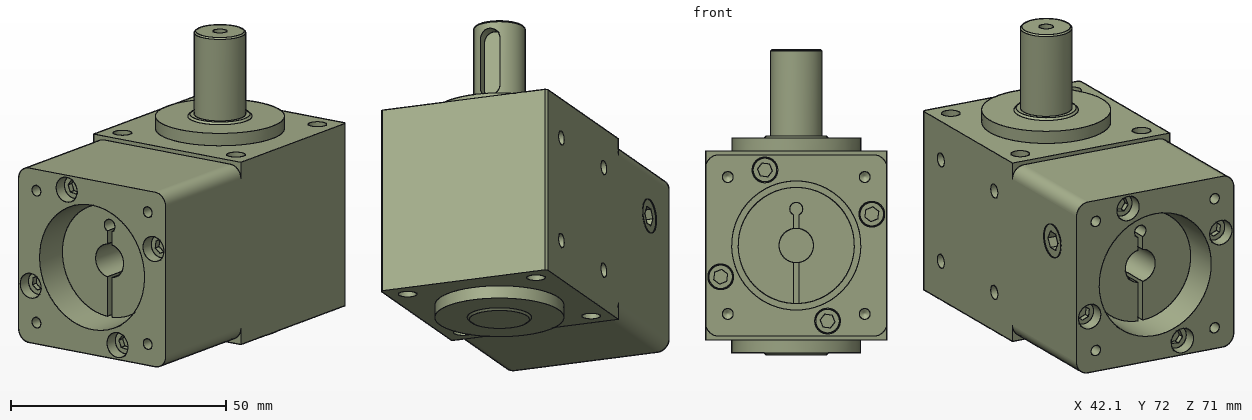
import cadquery as cq
import math


overall_length = 72.0
drill_point_angle = 118
hexagon_sides = 6

housing_width = 42.1
housing_height = 44.0
housing_half_length = 21.0
housing_edge_chamfer = 0.5
side_x = -housing_width / 2

motor_face_y = housing_half_length - overall_length
block_corner_radius = 3.0

flange_diameter = 30.0
flange_end_z = 25.0
boss_diameter = 15.0
boss_height = 0.5
boss_end_diameter = boss_diameter - 2 * boss_height
shaft_diameter = 12.0
shaft_top_z = 45.5
shaft_chamfer = 0.35
center_hole_diameter = 3.3
center_hole_depth = 10.1

key_width = 5.0
key_length = 16.4
key_depth = 3.0
key_top_gap = 1.8

mount_hole_diameter = 4.3
mount_hole_spacing = 32.5
side_hole_diameter = 3.3
side_hole_depth = 8.0
side_hole_spacing = 25.0

pilot_diameter = flange_diameter
pilot_depth = 23.5
motor_hole_diameter = 2.5
motor_hole_depth = 10.0
motor_hole_spacing = 31.8
screw_circle_radius = 19.0
screw_first_angle = 22.5
screw_count = 4
screw_recess_diameter = 6.0
screw_head_diameter = 5.5
screw_recess_depth = 6.0
screw_head_height = 3.0
screw_hex_flats = 3.0
screw_hex_depth = 1.5

hub_diameter = 27.0
hub_face_depth = 7.0
hub_face_y = motor_face_y + hub_face_depth
hub_bore_diameter = 8.0
slit_width = 1.3
slit_floor_depth = 19.0
relief_hole_diameter = 3.0
relief_hole_z = 8.5

plug_y = -39.5
plug_z = 8.5
plug_diameter = 8.0
plug_recess = 0.2
plug_hex_flats = 4.0
plug_hex_depth = 3.0


def cylinder(diameter, start, direction, length):
    solid = cq.Solid.makeCylinder(diameter / 2, length, cq.Vector(*start), cq.Vector(*direction))
    return cq.Workplane(solid)


def drilled_hole(diameter, depth, start, direction):
    """Blind hole with a conical drill point beyond its full-diameter depth."""
    radius = diameter / 2
    point_length = radius / math.tan(math.radians(drill_point_angle / 2))
    cone_base = cq.Vector(*start) + cq.Vector(*direction) * depth
    cone = cq.Solid.makeCone(radius, 0, point_length, cone_base, cq.Vector(*direction))
    return cylinder(diameter, start, direction, depth).union(cq.Workplane(cone))


def square_corners(spacing):
    """Corner points of a centred square with the given side."""
    half = spacing / 2
    return [(a, b) for a in (-half, half) for b in (-half, half)]


def across_corners(flats):
    """Corner-to-corner size of a regular hexagon with the given size across flats."""
    return flats / math.cos(math.pi / hexagon_sides)


def make_housing():
    housing = cq.Workplane("XY").box(housing_width, 2 * housing_half_length, housing_height)
    return housing.edges("|Z and >Y").chamfer(housing_edge_chamfer)


def make_motor_block():
    length = -motor_face_y
    block = cq.Workplane("XY").box(housing_width, length, housing_width)
    return block.edges("|Y").fillet(block_corner_radius).translate((0, -length / 2, 0))


def make_flange(side):
    """Flange with its tapered seal boss; side is 1 for the top and -1 for the bottom."""
    flange = cylinder(flange_diameter, (0, 0, 0), (0, 0, side), flange_end_z)
    boss_base = cq.Vector(0, 0, side * flange_end_z)
    outward = cq.Vector(0, 0, side)
    boss = cq.Solid.makeCone(boss_diameter / 2, boss_end_diameter / 2, boss_height, boss_base, outward)
    return flange.union(cq.Workplane(boss))


def make_shaft():
    shaft = cylinder(shaft_diameter, (0, 0, 0), (0, 0, 1), shaft_top_z)
    shaft = shaft.faces(">Z").chamfer(shaft_chamfer)
    key_center_z = shaft_top_z - key_top_gap - key_length / 2
    keyway = (
        cq.Workplane("XZ", origin=(0, shaft_diameter / 2, key_center_z))
        .slot2D(key_length, key_width, 90)
        .extrude(key_depth)
    )
    center_hole = drilled_hole(center_hole_diameter, center_hole_depth, (0, 0, shaft_top_z), (0, 0, -1))
    return shaft.cut(keyway).cut(center_hole)


def cut_mount_holes(body):
    for x, y in square_corners(mount_hole_spacing):
        start = (x, y, -housing_height / 2)
        body = body.cut(cylinder(mount_hole_diameter, start, (0, 0, 1), housing_height))
    return body


def cut_side_holes(body):
    for y, z in square_corners(side_hole_spacing):
        body = body.cut(drilled_hole(side_hole_diameter, side_hole_depth, (side_x, y, z), (1, 0, 0)))
    return body


def cut_motor_holes(body):
    for x, z in square_corners(motor_hole_spacing):
        start = (x, motor_face_y, z)
        body = body.cut(drilled_hole(motor_hole_diameter, motor_hole_depth, start, (0, 1, 0)))
    return body


def screw_recess():
    """Recess for the cap screw nearest +X, leaving its socket head standing on the floor."""
    start = (screw_circle_radius, motor_face_y, 0)
    head_face = (screw_circle_radius, motor_face_y + screw_recess_depth - screw_head_height, 0)
    recess = cylinder(screw_recess_diameter, start, (0, 1, 0), screw_recess_depth)
    head = cylinder(screw_head_diameter, head_face, (0, 1, 0), screw_head_height)
    socket = (
        cq.Workplane("XZ", origin=head_face)
        .polygon(hexagon_sides, across_corners(screw_hex_flats))
        .extrude(-screw_hex_depth)
    )
    return recess.cut(head.cut(socket))


def cut_screws(body):
    for index in range(screw_count):
        angle = screw_first_angle + index * 360 / screw_count
        body = body.cut(screw_recess().rotate((0, 0, 0), (0, 1, 0), -angle))
    return body


def cut_pilot(body):
    return body.cut(cylinder(pilot_diameter, (0, motor_face_y, 0), (0, 1, 0), pilot_depth))


def make_hub():
    """Clamping hub, split from bore to rim below and slit up to a relief hole above."""
    hub_length = pilot_depth - hub_face_depth
    slit_depth = slit_floor_depth - hub_face_depth
    start = (0, hub_face_y, 0)
    hub = cylinder(hub_diameter, start, (0, 1, 0), hub_length)
    hub = hub.cut(cylinder(hub_bore_diameter, start, (0, 1, 0), hub_length))
    slit_bottom_z = -hub_diameter / 2
    slit_length = relief_hole_z - slit_bottom_z
    slit = cq.Workplane("XY").box(slit_width, slit_depth, slit_length, centered=(True, False, False))
    relief = cylinder(relief_hole_diameter, (0, hub_face_y, relief_hole_z), (0, 1, 0), slit_depth)
    return hub.cut(slit.translate((0, hub_face_y, slit_bottom_z))).cut(relief)


def cut_plug(body):
    recess = cylinder(plug_diameter, (side_x, plug_y, plug_z), (1, 0, 0), plug_recess)
    socket = (
        cq.Workplane("YZ", origin=(side_x + plug_recess, plug_y, plug_z))
        .polygon(hexagon_sides, across_corners(plug_hex_flats))
        .extrude(plug_hex_depth)
    )
    return body.cut(recess).cut(socket)


body = make_housing().union(make_motor_block())
body = body.union(make_flange(1)).union(make_flange(-1))
body = cut_mount_holes(body)
body = cut_side_holes(body)
body = cut_motor_holes(body)
body = cut_screws(body)
body = cut_plug(body)
body = cut_pilot(body).union(make_hub())
result = body.union(make_shaft())